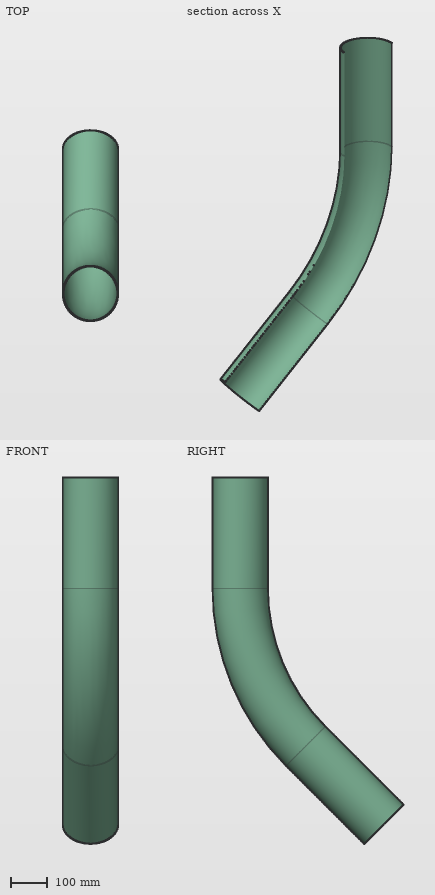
import cadquery as cq
import math

overall_height = 1005.0
outer_diameter = 153.0
inner_diameter = 147.0
bend_angle = 45.0
bend_radius = 4 * outer_diameter

sin_bend = math.sin(math.radians(bend_angle))
cos_bend = math.cos(math.radians(bend_angle))

bend_height = bend_radius * sin_bend
rim_drop = outer_diameter / 2 * sin_bend
leg_length = (overall_height - bend_height - rim_drop) / (1 + cos_bend)

bend_start = (0, -leg_length)
bend_end = (bend_radius * (1 - cos_bend), -leg_length - bend_height)
lower_end = (
    bend_end[0] + leg_length * sin_bend,
    bend_end[1] - leg_length * cos_bend,
)


def make_centreline():
    """Path down the vertical leg, around the bend and along the inclined leg."""
    return (
        cq.Workplane("YZ")
        .lineTo(*bend_start)
        .tangentArcPoint(bend_end, relative=False)
        .lineTo(*lower_end)
    )


def make_pipe():
    """Sweep the pipe wall along the centreline."""
    wall_section = (
        cq.Workplane("XY")
        .circle(outer_diameter / 2)
        .circle(inner_diameter / 2)
    )
    return wall_section.sweep(make_centreline())


result = make_pipe()